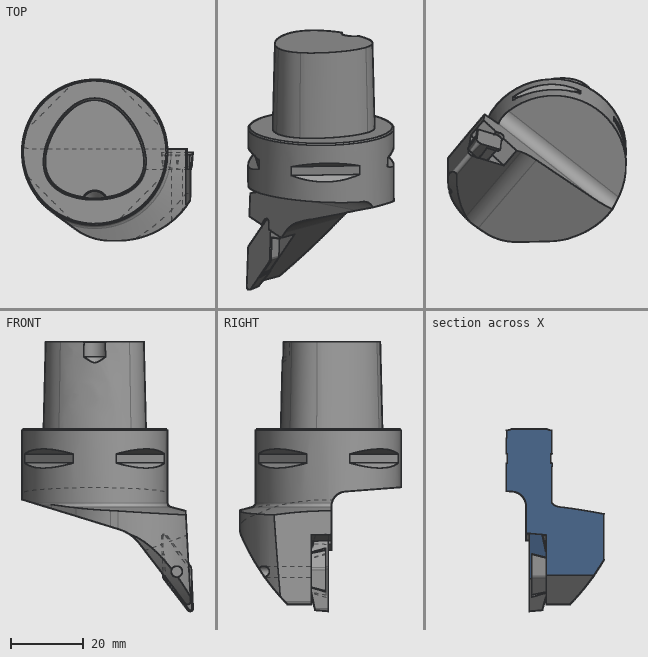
import cadquery as cq
import math

FLANGE_D = 40.0
FLANGE_R = FLANGE_D / 2
FLANGE_CHAMFER = 0.45
FLOOR_Z = -55.5
MARGIN = 37.0

SHANK_LENGTH = 23.9
SHANK_BASE_R = 14.0
SHANK_TIP_R = 13.4
SHANK_LOBE = 0.9
LOBE_COUNT = 3
LOBE_HALF_ANGLE = 20
SHANK_EDGE_POINTS = 9

KEYWAY_R = 3.4
KEYWAY_Y = -14.05
KEYWAY_CHAMFER = 0.2
KEYWAY_SHOULDER_Z = 19.75
KEYWAY_CONE_DEPTH = 2.75

GROOVE_COUNT = 4
GROOVE_Z = -8.15
FIRST_GROOVE_ANGLE = 45
GROOVE_FLOOR_R = 17.7
GROOVE_FLOOR_W = 2.45
GROOVE_MOUTH_W = 5.25

ARM_HUB_R = 20.1
CONE_TOP_Z = -21.2
CONE_ANGLE = math.radians(15)
NECK_FILLET = 1.2
CONE_OUTER_R = 33.3

DEPTH_Y = 44.3
WALL_Y = FLANGE_R - DEPTH_Y
WALL_FLAT_X0 = 4.3
WALL_FLAT_X1 = 6.3
WALL_LEFT_R = 16.0
WALL_RIGHT_R = 23.4

UNDERSIDE_LEFT_Z = -19.4
BEND_X, BEND_Z = 10.1, -28.65
BEND_R = 10.8
ARM_TIP_X, ARM_TIP_Z = 26.4, -49.95
ARM_TIP_R = 0.8
END_FACE_ANGLE = math.radians(3)

BACK_Y = 0.9
BACK_EDGE_Z = -16.05
BACK_CORNER_Z = -17.55
BACK_FILLET = 4.0

NOSE_TOP_Z = -28.35
NOSE_MID_Y, NOSE_MID_Z = -19.3, -37.95
NOSE_END_Y, NOSE_END_Z = -11.25, -48.1

INSERT_SIDE = 13.85
INSERT_ANGLE = math.radians(35)
INSERT_THICKNESS = 4.65
INSERT_CLEARANCE = 5.0
NOSE_R = 0.8
BLUNT_R = 1.1
CUT_X, CUT_Z = 27.0, -50.1
INSERT_AXIS_TILT = math.radians(20)
FLAT_TOP = 0.75
FLAT_DEPTH = 0.7
FLAT_TOP_HALF = 5.9
FLAT_BOTTOM_HALF = 4.95
HEEL_RISE = 1.1
HEEL_LENGTH = 4.95
SCREW_HOLE_D = 3.0
SCREW_SHIFT = 0.3
POCKET_WALL = 8.8

half_long = INSERT_SIDE * math.cos(INSERT_ANGLE / 2)
half_short = INSERT_SIDE * math.sin(INSERT_ANGLE / 2)
axis_x, axis_z = math.sin(INSERT_AXIS_TILT), -math.cos(INSERT_AXIS_TILT)
nose_to_center = half_long - NOSE_R / math.sin(INSERT_ANGLE / 2)
insert_x = CUT_X - NOSE_R - nose_to_center * axis_x
insert_z = CUT_Z + NOSE_R - nose_to_center * axis_z
insert_plane = cq.Plane((insert_x, 0, insert_z), (axis_x, 0, axis_z), (0, -1, 0))


def shank_edge(radius, z, start, sweep):
    """Stretch of the three-lobed curve; angles in degrees from the lobe towards +Y."""
    points = []
    tangents = []
    for i in range(SHANK_EDGE_POINTS):
        a = math.radians(start + sweep * i / (SHANK_EDGE_POINTS - 1))
        points.append(cq.Vector(
            radius * math.sin(a) - SHANK_LOBE * math.sin(2 * a),
            radius * math.cos(a) + SHANK_LOBE * math.cos(2 * a),
            z,
        ))
        tangents.append(cq.Vector(
            radius * math.cos(a) - 2 * SHANK_LOBE * math.cos(2 * a),
            -radius * math.sin(a) - 2 * SHANK_LOBE * math.sin(2 * a),
            0,
        ))
    return cq.Edge.makeSpline(points, tangents=[tangents[0], tangents[-1]])


def shank_section(radius, z):
    """Closed section, split into three lobes and the three flanks between them."""
    edges = []
    pitch = 360 / LOBE_COUNT
    for i in range(LOBE_COUNT):
        lobe = i * pitch
        edges.append(shank_edge(radius, z, lobe - LOBE_HALF_ANGLE, 2 * LOBE_HALF_ANGLE))
        edges.append(shank_edge(radius, z, lobe + LOBE_HALF_ANGLE, pitch - 2 * LOBE_HALF_ANGLE))
    return cq.Wire.assembleEdges(edges)


def make_shank():
    sections = [shank_section(SHANK_BASE_R, 0), shank_section(SHANK_TIP_R, SHANK_LENGTH)]
    shank = cq.Workplane(cq.Solid.makeLoft(sections, True))
    keyway = (
        cq.Workplane("XZ")
        .moveTo(0, SHANK_LENGTH)
        .lineTo(KEYWAY_R + KEYWAY_CHAMFER, SHANK_LENGTH)
        .lineTo(KEYWAY_R, SHANK_LENGTH - KEYWAY_CHAMFER)
        .lineTo(KEYWAY_R, KEYWAY_SHOULDER_Z)
        .lineTo(0, KEYWAY_SHOULDER_Z - KEYWAY_CONE_DEPTH)
        .close()
        .revolve(360, (0, 0), (0, 1))
        .translate((0, KEYWAY_Y, 0))
    )
    return shank.cut(keyway)


def make_flange():
    return (
        cq.Workplane("XY")
        .circle(FLANGE_R)
        .extrude(FLOOR_Z)
        .faces(">Z")
        .chamfer(FLANGE_CHAMFER)
    )


def grip_groove(angle):
    """Trapezoidal straight groove across the flange rim."""
    depth = FLANGE_R - GROOVE_FLOOR_R
    slope = (GROOVE_MOUTH_W - GROOVE_FLOOR_W) / 2 / depth
    outer_r = FLANGE_R + depth
    outer_half = GROOVE_FLOOR_W / 2 + slope * (outer_r - GROOVE_FLOOR_R)
    return (
        cq.Workplane("XZ")
        .polyline([
            (GROOVE_FLOOR_R, GROOVE_Z - GROOVE_FLOOR_W / 2),
            (outer_r, GROOVE_Z - outer_half),
            (outer_r, GROOVE_Z + outer_half),
            (GROOVE_FLOOR_R, GROOVE_Z + GROOVE_FLOOR_W / 2),
        ])
        .close()
        .extrude(FLANGE_R, both=True)
        .rotate((0, 0, 0), (0, 0, 1), angle)
    )


def arm_footprint():
    """Plan shape of the arm: round hub, straight tangent, arc, flat, arc."""
    left_y = WALL_Y + WALL_LEFT_R
    right_y = WALL_Y + WALL_RIGHT_R
    reach = math.hypot(WALL_FLAT_X0, left_y)
    normal = math.atan2(left_y, WALL_FLAT_X0) - math.acos((ARM_HUB_R - WALL_LEFT_R) / reach)
    nx, ny = math.cos(normal), math.sin(normal)
    hub_mid = (normal - math.pi) / 2
    left_mid = (normal - math.pi / 2) / 2
    right_mid = -math.pi / 4
    return (
        cq.Workplane("XY")
        .moveTo(-ARM_HUB_R, 0)
        .threePointArc(
            (ARM_HUB_R * math.cos(hub_mid), ARM_HUB_R * math.sin(hub_mid)),
            (ARM_HUB_R * nx, ARM_HUB_R * ny),
        )
        .lineTo(WALL_FLAT_X0 + WALL_LEFT_R * nx, left_y + WALL_LEFT_R * ny)
        .threePointArc(
            (WALL_FLAT_X0 + WALL_LEFT_R * math.cos(left_mid), left_y + WALL_LEFT_R * math.sin(left_mid)),
            (WALL_FLAT_X0, WALL_Y),
        )
        .lineTo(WALL_FLAT_X1, WALL_Y)
        .threePointArc(
            (WALL_FLAT_X1 + WALL_RIGHT_R * math.cos(right_mid), right_y + WALL_RIGHT_R * math.sin(right_mid)),
            (WALL_FLAT_X1 + WALL_RIGHT_R, right_y),
        )
        .lineTo(WALL_FLAT_X1 + WALL_RIGHT_R, BACK_Y)
        .lineTo(-ARM_HUB_R, BACK_Y)
        .close()
        .extrude(FLOOR_Z)
    )


def cone_skirt():
    """Space below the cone, blended into the flange wall by a concave fillet."""
    slope = math.tan(CONE_ANGLE)
    tangent = NECK_FILLET * math.tan((math.pi / 2 - CONE_ANGLE) / 2)
    center_r = FLANGE_R + NECK_FILLET
    center_z = CONE_TOP_Z + tangent
    mid = math.pi + (math.pi / 2 - CONE_ANGLE) / 2
    inner_r = FLANGE_R / 2
    return (
        cq.Workplane("XZ")
        .moveTo(inner_r, center_z)
        .lineTo(FLANGE_R, center_z)
        .threePointArc(
            (center_r + NECK_FILLET * math.cos(mid), center_z + NECK_FILLET * math.sin(mid)),
            (FLANGE_R + tangent * math.cos(CONE_ANGLE), CONE_TOP_Z - tangent * math.sin(CONE_ANGLE)),
        )
        .lineTo(CONE_OUTER_R, CONE_TOP_Z - slope * (CONE_OUTER_R - FLANGE_R))
        .lineTo(CONE_OUTER_R, FLOOR_Z)
        .lineTo(inner_r, FLOOR_Z)
        .close()
        .revolve(360, (0, 0), (0, 1))
    )


def side_envelope():
    """Prism along Y bounded by the bent underside and the leaning end face."""
    left_slope = (UNDERSIDE_LEFT_Z - BEND_Z) / (BEND_X + FLANGE_R)
    left_x = -MARGIN
    end_top_x = ARM_TIP_X + ARM_TIP_Z * math.tan(END_FACE_ANGLE)
    prism = (
        cq.Workplane("XZ")
        .polyline([
            (left_x, 0),
            (left_x, BEND_Z + left_slope * (BEND_X - left_x)),
            (BEND_X, BEND_Z),
            (ARM_TIP_X, ARM_TIP_Z),
            (end_top_x, 0),
        ])
        .close()
        .extrude(MARGIN, both=True)
    )
    prism = prism.edges(cq.NearestToPointSelector((BEND_X, 0, BEND_Z))).fillet(BEND_R)
    return prism.edges(cq.NearestToPointSelector((ARM_TIP_X, 0, ARM_TIP_Z))).fillet(ARM_TIP_R)


def back_cut():
    """Removes everything behind the arm, below the rear of the flange."""
    slope = (BACK_EDGE_Z - BACK_CORNER_Z) / (FLANGE_R - BACK_Y)
    return (
        cq.Workplane("YZ")
        .polyline([
            (BACK_Y, BACK_CORNER_Z),
            (MARGIN, BACK_CORNER_Z + slope * (MARGIN - BACK_Y)),
            (MARGIN, FLOOR_Z - 0.75),
            (BACK_Y, FLOOR_Z - 0.75),
        ])
        .close()
        .extrude(MARGIN, both=True)
        .edges(cq.NearestToPointSelector((0, BACK_Y, BACK_CORNER_Z)))
        .fillet(BACK_FILLET)
    )


def nose_relief():
    """Curved cut along X that sweeps the arm's front back towards the tip."""
    return (
        cq.Workplane("YZ")
        .moveTo(WALL_Y, NOSE_TOP_Z)
        .threePointArc((NOSE_MID_Y, NOSE_MID_Z), (NOSE_END_Y, NOSE_END_Z))
        .lineTo(NOSE_END_Y, FLOOR_Z - 0.75)
        .lineTo(-MARGIN, FLOOR_Z - 0.75)
        .lineTo(-MARGIN, NOSE_TOP_Z)
        .close()
        .extrude(MARGIN, both=True)
    )


def insert_outline():
    return (
        cq.Sketch()
        .polygon([
            (half_long, 0), (0, half_short), (-half_long, 0), (0, -half_short), (half_long, 0),
        ])
        .vertices(">X or <X")
        .fillet(NOSE_R)
        .reset()
        .vertices(">Y or <Y")
        .fillet(BLUNT_R)
    )


def insert_blank():
    return (
        cq.Workplane(insert_plane)
        .placeSketch(insert_outline())
        .extrude(INSERT_THICKNESS, taper=INSERT_CLEARANCE)
    )


def insert_pocket():
    """Recess for the seated nose, open to the back, and clear space around the rest."""
    above = cq.Workplane(insert_plane).placeSketch(insert_outline()).extrude(-2 * BACK_Y)
    clearance = (
        cq.Workplane(insert_plane)
        .workplane(offset=-2 * BACK_Y)
        .center(MARGIN / 2 - POCKET_WALL, 0)
        .rect(MARGIN, MARGIN)
        .extrude(INSERT_THICKNESS + 2 * BACK_Y)
    )
    return insert_blank().union(above).union(clearance)


def screw_hole():
    return cq.Workplane(insert_plane).center(-SCREW_SHIFT, 0).circle(SCREW_HOLE_D / 2).extrude(MARGIN)


def make_holder():
    arm = arm_footprint().intersect(cone_skirt())
    body = make_flange().union(arm).intersect(side_envelope())
    body = body.cut(back_cut()).cut(nose_relief())
    for i in range(GROOVE_COUNT):
        body = body.cut(grip_groove(FIRST_GROOVE_ANGLE + i * 360 / GROOVE_COUNT))
    body = body.cut(insert_pocket()).cut(screw_hole())
    return body.union(make_shank())


def flats_section(half_length, depth):
    """Outline of the material outside the flats at one blunt corner."""
    apex = half_short - FLAT_DEPTH / math.cos(INSERT_ANGLE / 2)
    end_y = apex - half_length * math.tan(INSERT_ANGLE / 2)
    return (
        cq.Workplane(insert_plane)
        .workplane(offset=depth)
        .polyline([
            (-half_length, end_y),
            (0, apex),
            (half_length, end_y),
            (half_length + half_short, end_y + half_short),
            (-half_length - half_short, end_y + half_short),
        ])
        .close()
        .val()
    )


def corner_flats():
    """Cut that squares the sides next to one blunt corner, below the land."""
    sections = [
        flats_section(FLAT_TOP_HALF, FLAT_TOP),
        flats_section(FLAT_BOTTOM_HALF, INSERT_THICKNESS),
    ]
    cutter = cq.Workplane(cq.Solid.makeLoft(sections, True))
    apex_edge = cq.NearestToPointSelector(
        insert_plane.toWorldCoords((0, half_short - FLAT_DEPTH, INSERT_THICKNESS / 2)).toTuple()
    )
    return cutter.edges(apex_edge).fillet(BLUNT_R)


def heel_bevel():
    """Wedge that lifts the bottom face towards one sharp nose."""
    wedge_plane = cq.Plane(insert_plane.origin, insert_plane.xDir, insert_plane.yDir * -1)
    start = nose_to_center + NOSE_R - HEEL_LENGTH
    length = 2 * HEEL_LENGTH
    return (
        cq.Workplane(wedge_plane)
        .polyline([
            (start, INSERT_THICKNESS),
            (start + length, INSERT_THICKNESS - 2 * HEEL_RISE),
            (start + length, INSERT_THICKNESS),
        ])
        .close()
        .extrude(half_short, both=True)
    )


def make_insert():
    body = insert_blank()
    axis_start = (insert_x, 0, insert_z)
    axis_end = (insert_x, 1, insert_z)
    for turn in (0, 180):
        body = body.cut(corner_flats().rotate(axis_start, axis_end, turn))
        body = body.cut(heel_bevel().rotate(axis_start, axis_end, turn))
    return body


holder = make_holder()
insert = make_insert()
result = cq.Compound.makeCompound([holder.solids().val(), insert.solids().val()])